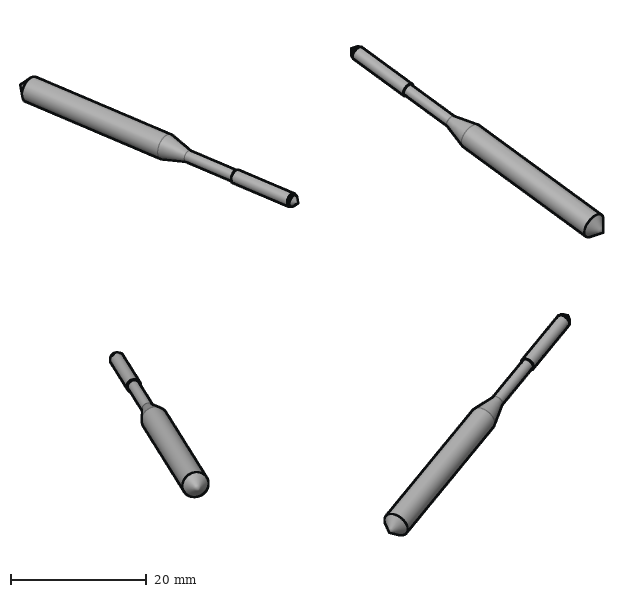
import cadquery as cq

total_length = 53.0
shank_end = 27.8
taper_end = 32.0
sleeve_start = 41.0
sleeve_end = 51.7

shank_radius = 2.0
rod_radius = 0.93
sleeve_radius = 1.085

rear_cone_length = shank_radius
tip_cone_length = rod_radius

rear_x = -total_length / 2
front_x = total_length / 2


def make_core():
    """Pointed shank tapering to a slim rod with a pointed tip, as one turned body."""
    return (
        cq.Workplane("XY")
        .moveTo(rear_x, 0)
        .lineTo(rear_x + rear_cone_length, shank_radius)
        .lineTo(rear_x + shank_end, shank_radius)
        .lineTo(rear_x + taper_end, rod_radius)
        .lineTo(front_x - tip_cone_length, rod_radius)
        .lineTo(front_x, 0)
        .close()
        .revolve(360, (0, 0, 0), (1, 0, 0))
    )


def make_sleeve():
    """Thin working sleeve fitted around the front of the rod."""
    return (
        cq.Workplane("YZ", origin=(rear_x + sleeve_start, 0, 0))
        .circle(sleeve_radius)
        .circle(rod_radius)
        .extrude(sleeve_end - sleeve_start)
    )


core = make_core()
sleeve = make_sleeve()

result = cq.Compound.makeCompound([core.val(), sleeve.val()])